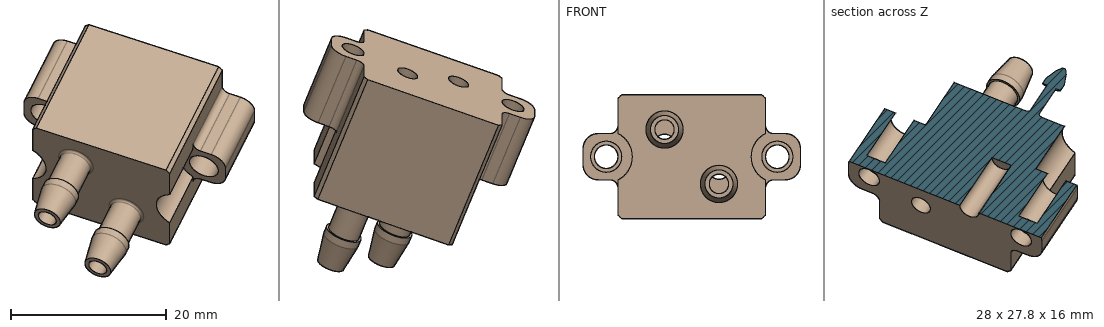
import cadquery as cq

overall_width = 28.0
body_width = 19.0
body_height = 16.0
body_depth = 18.0
edge_chamfer = 0.5

ear_depth = 10.0
ear_height = 6.0
ear_corner_radius = 2.0
ear_root_fillet = 1.0
screw_spacing = 22.0
screw_hole_diameter = 3.0
counterbore_diameter = 4.0
counterbore_depth = 8.0
groove_radius = 3.35

port_offset = 3.5
port_length = 9.8
stem_diameter = 4.2
stem_length = 5.0
stem_fillet = 0.3
barb_diameter = 4.8
barb_land = 1.0
tip_diameter = 3.6

front_bore_diameter = 2.5
back_bore_diameter = 2.75
back_bore_height = 1.5
back_bore_depth = body_depth / 2
bore_overlap = 1.0

PORTS = [(-port_offset, 1), (port_offset, -1)]


def front_sketch(y):
    """XZ workplane at the given Y; positive extrusion runs toward -Y."""
    return cq.Workplane("XZ", origin=(0, y, 0))


def body_with_ears():
    block = front_sketch(0).rect(body_width, body_height).extrude(body_depth)
    block = block.edges("|Y").chamfer(edge_chamfer)
    groove_length = body_depth - ear_depth
    grooves = (
        front_sketch(-ear_depth)
        .pushPoints([(-screw_spacing / 2, 0), (screw_spacing / 2, 0)])
        .circle(groove_radius)
        .extrude(groove_length)
    )
    block = block.cut(grooves)
    ears = (
        front_sketch(0)
        .rect(overall_width, ear_height)
        .extrude(ear_depth)
        .edges("|Y")
        .fillet(ear_corner_radius)
    )
    block = block.union(ears)
    for side in (-1, 1):
        for level in (-1, 1):
            block = block.union(ear_root(side, level))
    return block


def ear_root(side, level):
    """Concave fillet strip between an ear and the side of the block."""
    x = side * body_width / 2
    z = level * ear_height / 2
    reach_x = x + side * ear_root_fillet
    reach_z = z + level * ear_root_fillet
    strip = (
        front_sketch(0)
        .moveTo(x, z)
        .lineTo(reach_x, z)
        .lineTo(reach_x, reach_z)
        .lineTo(x, reach_z)
        .close()
        .extrude(ear_depth)
    )
    relief = front_sketch(0).center(reach_x, reach_z).circle(ear_root_fillet).extrude(ear_depth)
    return strip.cut(relief)


def screw_holes():
    centers = [(-screw_spacing / 2, 0), (screw_spacing / 2, 0)]
    through = front_sketch(0).pushPoints(centers).circle(screw_hole_diameter / 2).extrude(ear_depth)
    counterbores = (
        front_sketch(-ear_depth + counterbore_depth)
        .pushPoints(centers)
        .circle(counterbore_diameter / 2)
        .extrude(counterbore_depth)
    )
    return through.union(counterbores)


def barbed_stem(x, z):
    """Stem with a concave root, a cylindrical barb land and a tapered tip."""
    root_radius = stem_diameter / 2 + stem_fillet
    profile = (
        cq.Workplane("XY")
        .lineTo(root_radius, 0)
        .radiusArc((stem_diameter / 2, -stem_fillet), -stem_fillet)
        .lineTo(stem_diameter / 2, -stem_length)
        .lineTo(barb_diameter / 2, -stem_length)
        .lineTo(barb_diameter / 2, -stem_length - barb_land)
        .lineTo(tip_diameter / 2, -port_length)
        .lineTo(0, -port_length)
        .close()
    )
    stem = profile.revolve(360, (0, 0, 0), (0, 1, 0))
    return stem.translate((x, -body_depth, z))


def flow_passage(x, level):
    front_start = bore_overlap - back_bore_depth
    front_length = body_depth + port_length + front_start
    front_bore = (
        front_sketch(front_start)
        .center(x, level * port_offset)
        .circle(front_bore_diameter / 2)
        .extrude(front_length)
    )
    back_bore = (
        front_sketch(0)
        .center(x, level * back_bore_height)
        .circle(back_bore_diameter / 2)
        .extrude(back_bore_depth)
    )
    return front_bore.union(back_bore)


result = body_with_ears().cut(screw_holes())
for port_x, port_level in PORTS:
    result = result.union(barbed_stem(port_x, port_level * port_offset))
    result = result.cut(flow_passage(port_x, port_level))